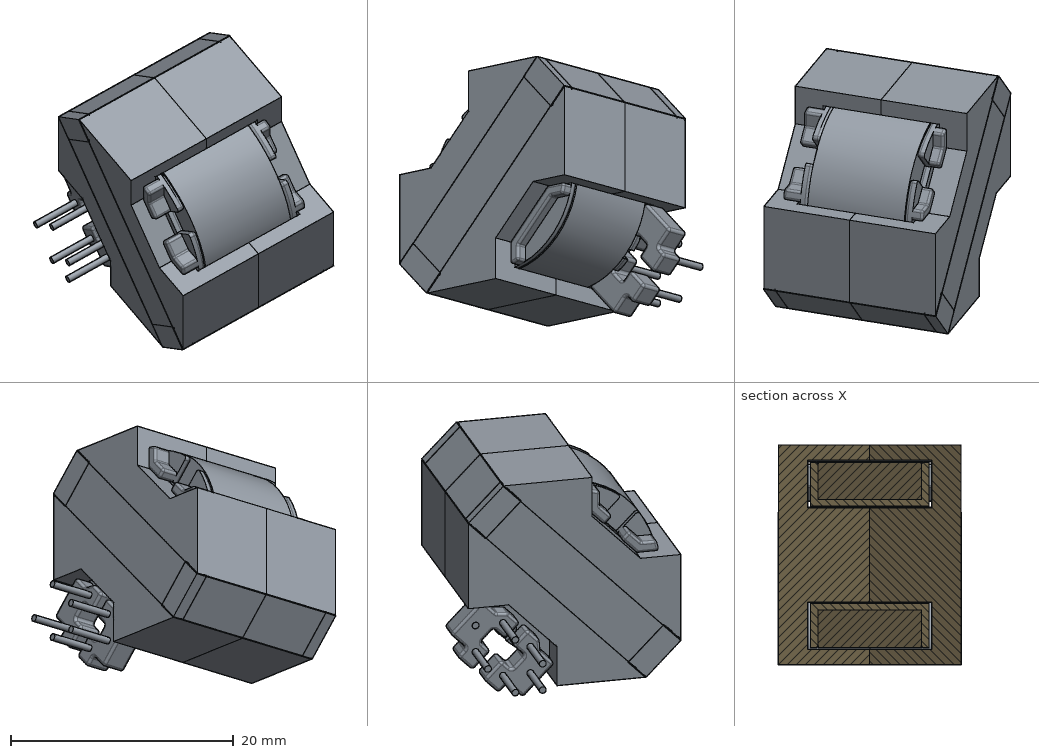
import cadquery as cq
import math

TURN = 45.0
OVERALL_LENGTH = 19.6

CORE_HALF_SIDE = 9.86
CORE_HALF_LENGTH = 8.2
END_FACE_WIDTH = 4.68
NOTCH_WALL = 1.63
NOTCH_FLOOR = 5.48
CAVITY_RADIUS = 8.5
CAVITY_HALF_LENGTH = 5.55
POST_RADIUS = 4.28
CLIP_NOTCH_DEPTH = 2.25
CLIP_NOTCH_LENGTH = 1.1

CLIP_WIDTH = 4.54
CLIP_THICKNESS = 0.05

FLANGE_RADIUS = 8.35
FLANGE_INNER = 4.62
FLANGE_OUTER = 5.33
HUB_RADIUS = 5.02
HUB_BORE_RADIUS = 4.39
SLOT_WIDTH = 2.24
SLOT_FLOOR = 5.58
PIN_SLOT_TOP = 6.77
LUG_CLEARANCE = 0.05
LUG_REACH = 1.05
BACK_LUG_END = 6.33
FRONT_LUG_END = 6.98
CORNER_ROUND = 0.3
RIM_ROUND = 0.25
ROUND_STEP = 0.02

BLOCK_GAP = 1.0
BLOCK_TOP = 6.19
BLOCK_TOP_SIDE = 2.05
BLOCK_SHOULDER = 6.9
BLOCK_SHOULDER_SIDE = 2.9
BLOCK_OUTER_SIDE = 4.75
BLOCK_BOTTOM = 11.04
LEG_OUTER_SIDE = 2.7
LEG_INNER_SIDE = 0.73
LEG_BOTTOM = 12.16
WINDOW_SIDE = 2.05
WINDOW_TOP = 8.09
WINDOW_BOTTOM = 9.82

PIN_RADIUS = 0.31
PIN_PITCH = 2.54
PIN_MIDDLE = 6.33
CUT_PIN_STUB = 0.02

slant_sum = math.sqrt(2) * NOTCH_FLOOR
chamfer_leg = END_FACE_WIDTH / math.sqrt(2)
end_face_distance = math.sqrt(2) * CORE_HALF_SIDE - END_FACE_WIDTH / 2
clip_half_length = CORE_HALF_LENGTH + CLIP_THICKNESS
pin_tip = OVERALL_LENGTH - clip_half_length


def prism(outline, y_start, y_end):
    """Extrude an outline of (x, z) points from y_start to y_end."""
    plane = cq.Workplane("XZ", origin=(0, y_start, 0))
    return plane.polyline(outline).close().extrude(y_start - y_end)


def cylinder(radius, y_start, y_end, x=0, z=0):
    plane = cq.Workplane("XZ", origin=(x, y_start, z))
    return plane.circle(radius).extrude(y_start - y_end)


def turned(shape):
    return shape.rotate((0, 0, 0), (0, 1, 0), TURN)


def notch_corner(offset):
    """Corner between notch wall and notch floor, with both moved out by the offset."""
    x = NOTCH_WALL + offset
    return x, slant_sum + math.sqrt(2) * offset - x


def mirrored(points):
    """Mirror points about the line x = z, in reversed order."""
    return [(z, x) for x, z in reversed(points)]


def clip_corner(end, width, distance, half_length):
    """Wedge where an end flat meets the front or back face; it fills or cuts the clip notch."""
    top = end_face_distance - CLIP_NOTCH_DEPTH
    bottom = CORE_HALF_LENGTH - CLIP_NOTCH_LENGTH
    plane = cq.Workplane("XY", origin=(0, 0, -width / 2))
    outline = [
        (end * top, CORE_HALF_LENGTH),
        (end * top, half_length),
        (end * distance, half_length),
        (end * distance, bottom),
        (end * end_face_distance, bottom),
    ]
    return plane.polyline(outline).close().extrude(width)


def make_core_half():
    """Half of the core on the +Y side."""
    side = CORE_HALF_SIDE
    quarter = [(chamfer_leg - side, side), (NOTCH_WALL, side), notch_corner(0)]
    half_outline = quarter + mirrored(quarter)
    outline = half_outline + [(-x, -z) for x, z in half_outline]
    core = prism(outline, 0, CORE_HALF_LENGTH)
    core = core.cut(cylinder(CAVITY_RADIUS, 0, CAVITY_HALF_LENGTH))
    core = core.union(cylinder(POST_RADIUS, 0, CORE_HALF_LENGTH))
    for end in (-1, 1):
        distance = end_face_distance + CLIP_THICKNESS
        wedge = clip_corner(end, END_FACE_WIDTH, distance, clip_half_length)
        core = core.cut(turned(wedge))
    return core


def make_clip():
    """Thin band around both core halves, thickened to wedges in the clip notches."""
    outer = end_face_distance + CLIP_THICKNESS
    band_box = cq.Workplane("XY").box(2 * outer, 2 * clip_half_length, CLIP_WIDTH)
    inside = cq.Workplane("XY").box(2 * end_face_distance, 2 * CORE_HALF_LENGTH, CLIP_WIDTH)
    back_half_space = cq.Workplane("XY", origin=(0, clip_half_length, 0)).box(
        3 * outer, 2 * clip_half_length, 2 * CLIP_WIDTH
    )
    half = band_box.cut(inside).intersect(back_half_space)
    for end in (-1, 1):
        half = half.union(clip_corner(end, CLIP_WIDTH, outer, clip_half_length), clean=False)
    return turned(half.union(half.mirror("XZ"), clean=False))


def make_winding():
    coil = cylinder(FLANGE_RADIUS, -FLANGE_INNER, FLANGE_INNER)
    return coil.cut(cylinder(HUB_RADIUS, -FLANGE_INNER, FLANGE_INNER))


def far_slot(floor, y_start, y_end):
    """Wire slot on the side away from the pins, before turning."""
    half = SLOT_WIDTH / 2
    top = 2 * FLANGE_RADIUS
    return prism([(-half, floor), (half, floor), (half, top), (-half, top)], y_start, y_end)


def pin_slot():
    """Round-ended wire slot between the terminal blocks, before turning."""
    half = BLOCK_GAP / 2
    center = -PIN_SLOT_TOP - half
    outline = [(-half, center), (half, center), (half, -FLANGE_RADIUS - half), (-half, -FLANGE_RADIUS - half)]
    slot = prism(outline, -FLANGE_OUTER, -FLANGE_INNER)
    return slot.union(cylinder(half, -FLANGE_OUTER, -FLANGE_INNER, z=center))


def make_flange(side):
    flange = cylinder(FLANGE_RADIUS, side * FLANGE_INNER, side * FLANGE_OUTER)
    flange = flange.cut(far_slot(SLOT_FLOOR, side * FLANGE_INNER, side * FLANGE_OUTER))
    slot_mouth = flange.edges("|Y").edges(">Z")
    flange = slot_mouth.fillet(CORNER_ROUND)
    inner_face = ">Y" if side < 0 else "<Y"
    flange = flange.faces(inner_face).edges().fillet(CORNER_ROUND - ROUND_STEP)
    if side < 0:
        flange = flange.cut(pin_slot())
    return turned(flange)


def notch_path(offset):
    """Path along the core notch, from one side wall over the floor to the other."""
    points = [(NOTCH_WALL + offset, FLANGE_RADIUS), notch_corner(offset)]
    return points + mirrored(points)


def make_lug(side, lug_end):
    """Lug along the whole core notch, standing on the outer face of a flange; not yet rounded."""
    outline = notch_path(LUG_CLEARANCE) + notch_path(LUG_REACH)[::-1]
    start = side * FLANGE_OUTER
    end = side * lug_end
    return prism(outline, start, end).intersect(cylinder(FLANGE_RADIUS, start, end))


def rounded_lug(lug, side):
    outer_face = "<Y" if side < 0 else ">Y"
    lug = lug.edges("|Y").fillet(RIM_ROUND)
    return lug.faces(outer_face).edges().fillet(RIM_ROUND - ROUND_STEP)


def make_lug_pair(side, lug_end):
    """Two lugs parted by the wire slot."""
    slot = turned(far_slot(NOTCH_FLOOR, side * FLANGE_OUTER, side * lug_end))
    pieces = make_lug(side, lug_end).cut(slot).solids().vals()
    return [rounded_lug(cq.Workplane(piece), side) for piece in pieces]


def make_terminal_block():
    """Block for three pins, one of them in a leg beside the window between the blocks; before turning."""
    inner_side = BLOCK_GAP / 2
    outline = [
        (inner_side, -BLOCK_TOP),
        (BLOCK_TOP_SIDE, -BLOCK_TOP),
        (BLOCK_SHOULDER_SIDE, -BLOCK_SHOULDER),
        (BLOCK_OUTER_SIDE, -BLOCK_SHOULDER),
        (BLOCK_OUTER_SIDE, -BLOCK_BOTTOM),
        (LEG_OUTER_SIDE, -BLOCK_BOTTOM),
        (LEG_OUTER_SIDE, -LEG_BOTTOM),
        (LEG_INNER_SIDE, -LEG_BOTTOM),
        (LEG_INNER_SIDE, -WINDOW_BOTTOM),
        (WINDOW_SIDE, -WINDOW_BOTTOM),
        (WINDOW_SIDE, -WINDOW_TOP),
        (inner_side, -WINDOW_TOP),
    ]
    block = prism(outline, -FLANGE_INNER, -FRONT_LUG_END).edges("|Y").fillet(CORNER_ROUND)
    return block.faces("<Y or >Y").edges().fillet(RIM_ROUND)


def add_pins(bobbin):
    """Six pins along two sides of a square grid; the one at the key place is cut short."""
    near = PIN_PITCH - PIN_MIDDLE
    middle = -PIN_MIDDLE
    far = -PIN_MIDDLE - PIN_PITCH
    key_place = (far, near)
    places = [key_place, (middle, near), (far, middle), (near, middle), (middle, far), (near, far)]
    for x, z in places:
        tip = FRONT_LUG_END + CUT_PIN_STUB if (x, z) == key_place else pin_tip
        bobbin = bobbin.union(cylinder(PIN_RADIUS, -FRONT_LUG_END, -tip, x, z))
    return bobbin


def make_bobbin():
    bobbin = cylinder(HUB_RADIUS, -FLANGE_OUTER, FLANGE_OUTER)
    for side in (-1, 1):
        bobbin = bobbin.union(make_flange(side))
    for lug in make_lug_pair(-1, FRONT_LUG_END) + make_lug_pair(1, BACK_LUG_END):
        bobbin = bobbin.union(lug)
    back_lug = rounded_lug(make_lug(1, BACK_LUG_END), 1)
    bobbin = bobbin.union(back_lug.rotate((0, 0, 0), (0, 1, 0), 180))
    block = make_terminal_block()
    bobbin = bobbin.union(turned(block)).union(turned(block.mirror("YZ")))
    bobbin = bobbin.cut(cylinder(HUB_BORE_RADIUS, -FLANGE_OUTER, FLANGE_OUTER))
    return add_pins(bobbin)


back_core_half = make_core_half()
front_core_half = back_core_half.mirror("XZ")
clip = make_clip()
bobbin = make_bobbin()
winding = make_winding()

bodies = [back_core_half, front_core_half, clip, bobbin, winding]
result = cq.Compound.makeCompound([body.solids().val() for body in bodies])